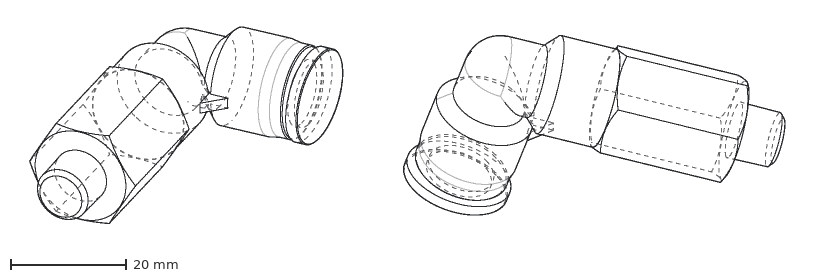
import cadquery as cq
import math


neck_radius = 6.5
body_diameter = 17.6
body_radius = body_diameter / 2
shoulder_length = body_radius - neck_radius
branch_neck_end = 6.8
taper_start = 18.3
taper_end = 20.25
lip_radius = 16.9 / 2
branch_end = 22.6
lip_chamfer = 0.25
stem_neck_end = 6.5
stem_end = 19.0

web_thickness = 2.0
web_reach = 3.6

collar_neck_diameter = 11.9
collar_width = 19.0
collar_height = 16.6
flange_start = 23.85
flange_end = 26.0
flange_chamfer = 0.2

hex_across_flats = body_diameter
hex_across_corners = hex_across_flats / math.cos(math.pi / 6)
hex_length = 23.55
hex_chamfer_radius = 8.7
hex_chamfer_slope = math.tan(math.radians(30))
stud_root_radius = 5.0
stud_tip_radius = 9.75 / 2
stud_length = 8.05
stud_chamfer_length = 0.8
stud_end_radius = 4.0


def revolve_on_branch(profile):
    """Revolve (distance, radius) points about the +X axis."""
    return cq.Workplane("XY").polyline(profile).close().revolve(360, (0, 0, 0), (1, 0, 0))


def revolve_on_stem(profile):
    """Revolve (distance, radius) points about the Y axis, distance measured toward -Y."""
    outline = [(radius, -distance) for distance, radius in profile]
    return cq.Workplane("XY").polyline(outline).close().revolve(360, (0, 0, 0), (0, 1, 0))


def make_web():
    """Triangular web that braces the branch body against the stem body."""
    tip = body_radius + web_reach
    return (
        cq.Workplane("XY")
        .polyline([(0, 0), (tip, 0), (tip, -body_radius), (body_radius, -tip), (0, -tip)])
        .close()
        .extrude(web_thickness / 2, both=True)
    )


def make_elbow():
    branch = revolve_on_branch([
        (0, 0),
        (0, neck_radius),
        (branch_neck_end, neck_radius),
        (branch_neck_end + shoulder_length, body_radius),
        (taper_start, body_radius),
        (taper_end, lip_radius),
        (branch_end - lip_chamfer, lip_radius),
        (branch_end, lip_radius - lip_chamfer),
        (branch_end, 0),
    ])
    stem = revolve_on_stem([
        (0, 0),
        (0, neck_radius),
        (stem_neck_end, neck_radius),
        (stem_neck_end + shoulder_length, body_radius),
        (stem_end, body_radius),
        (stem_end, 0),
    ])
    corner = cq.Workplane("XY").sphere(neck_radius)
    return branch.union(stem).union(corner).union(make_web())


def make_collar():
    neck = (
        cq.Workplane("YZ", origin=(branch_end, 0, 0))
        .circle(collar_neck_diameter / 2)
        .extrude(flange_start - branch_end)
    )
    flange = (
        cq.Workplane("YZ", origin=(flange_start, 0, 0))
        .ellipse(collar_width / 2, collar_height / 2)
        .extrude(flange_end - flange_start)
        .faces(">X")
        .chamfer(flange_chamfer)
    )
    return neck.union(flange)


def make_hex():
    """Hexagonal bar with flats facing +Z and -Z and both ends chamfered by a cone."""
    hex_end = stem_end + hex_length
    corner_radius = hex_across_corners / 2
    chamfer_length = (corner_radius - hex_chamfer_radius) * hex_chamfer_slope
    bar = (
        cq.Workplane("XZ", origin=(0, -stem_end, 0))
        .polygon(6, hex_across_corners)
        .extrude(hex_length)
    )
    chamfer_envelope = revolve_on_stem([
        (stem_end, 0),
        (stem_end, hex_chamfer_radius),
        (stem_end + chamfer_length, corner_radius),
        (hex_end - chamfer_length, corner_radius),
        (hex_end, hex_chamfer_radius),
        (hex_end, 0),
    ])
    return bar.intersect(chamfer_envelope)


def make_stud():
    """Hex bar with a slightly tapered, chamfered spigot on its free end."""
    root = stem_end + hex_length
    tip = root + stud_length
    spigot = revolve_on_stem([
        (root, 0),
        (root, stud_root_radius),
        (tip - stud_chamfer_length, stud_tip_radius),
        (tip, stud_end_radius),
        (tip, 0),
    ])
    return make_hex().union(spigot)


elbow = make_elbow()
collar = make_collar()
stud = make_stud()

result = cq.Compound.makeCompound([body.solids().val() for body in (elbow, collar, stud)])